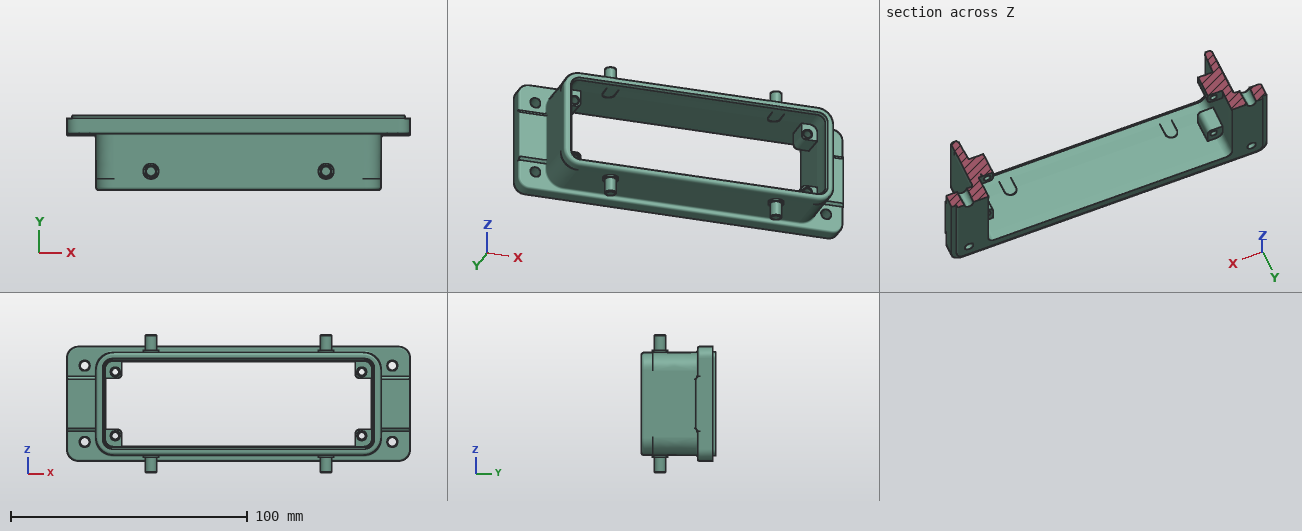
import cadquery as cq
import math


flange_length = 145.0
flange_height = 48.4
flange_thickness = 6.4
flange_corner = 5.0
flange_edge_fillet = 0.9
lip_depth = 1.3
lip_inset = 2.2
lip_edge_fillet = 0.6

pad_rise = 0.9
pad_edge_fillet = 0.7
pad_top_half = 10.3
pad_foot_half = 11.6

hood_length = 120.5
hood_height = 43.4
hood_front = 30.3
rear_corner = 7.5
front_corner = 7.1
parting_depth = 25.4
root_growth = 0.1
root_fillet = 0.7
rim_fillet = 1.3

rim_chamfer_depth = 1.2
rim_open_length = 114.8
rim_open_height = 38.3
rim_open_corner = 4.3
step_start = 19.7
throat_start = 2.8
rim_chamfer_inset = 0.7
parting_inset = 0.8
step_inset = 1.09
throat_inset = 1.3

pin_x = 37.0
pin_depth = 22.3
pin_span = 58.1
pin_diameter = 5.0
pin_chamfer = 0.5
collar_diameter = 6.5
collar_height = 0.9
recess_width = 5.4

boss_rear = 9.3
boss_front = step_start
boss_inner_x = 49.3
boss_inner_z = 10.7
boss_corner = 2.0
boss_hole_x = 52.0
boss_hole_z = 13.5
boss_hole_diameter = 3.5
boss_hole_back = 3.0
boss_hole_chamfer = 0.3

mount_x = 65.0
mount_z = 16.1
mount_diameter = 4.5
mount_back = 3.9

wall_middle_x = (rim_open_length + hood_length) / 4
wall_middle_z = (rim_open_height + hood_height) / 4


def rounded_rectangle(length, height, corner):
    return cq.Sketch().rect(length, height).vertices().fillet(corner)


def plate(length, height, corner, y_back, depth, taper=0):
    """Rounded rectangle in XZ, running forward from y_back by depth, narrowing by the taper angle."""
    outline = rounded_rectangle(length, height, corner)
    return cq.Workplane("XZ", origin=(0, y_back, 0)).placeSketch(outline).extrude(depth, taper=taper)


def four_corners(x, z):
    return [(sx * x, sz * z) for sx in (-1, 1) for sz in (-1, 1)]


def make_flange():
    flange = plate(flange_length, flange_height, flange_corner, 0, flange_thickness)
    flange = flange.faces("<Y").edges().fillet(flange_edge_fillet)
    lip = plate(
        flange_length - 2 * lip_inset,
        flange_height - 2 * lip_inset,
        flange_corner - lip_inset,
        lip_depth,
        lip_depth + flange_thickness / 2,
    )
    lip = lip.faces(">Y").edges().fillet(lip_edge_fillet)
    return flange.union(lip)


def make_pads():
    """Sloped-sided band across the flange, showing only beyond the ends of the hood."""
    pad_front = -flange_thickness - pad_rise
    profile = [
        (-flange_thickness / 2, -pad_foot_half),
        (-flange_thickness, -pad_foot_half),
        (pad_front, -pad_top_half),
        (pad_front, pad_top_half),
        (-flange_thickness, pad_foot_half),
        (-flange_thickness / 2, pad_foot_half),
    ]
    band = cq.Workplane("YZ").polyline(profile).close().extrude(flange_length / 2, both=True)
    return band.faces("<Y").edges("|Z").fillet(pad_edge_fillet)


def make_hood():
    rear = plate(
        hood_length + 2 * root_growth,
        hood_height + 2 * root_growth,
        rear_corner + root_growth,
        0,
        parting_depth,
        math.degrees(math.atan(root_growth / parting_depth)),
    )
    front = plate(hood_length, hood_height, front_corner, -parting_depth, hood_front - parting_depth)
    return rear.union(front.faces("<Y").edges().fillet(rim_fillet))


def make_opening_stage(depth_front, inset_front, depth_back, inset_back):
    """Drafted length of the opening between two depths, inset from the size at the rim."""

    def section(inset):
        return rounded_rectangle(
            rim_open_length - 2 * inset,
            rim_open_height - 2 * inset,
            rim_open_corner - inset,
        )

    distance = depth_front - depth_back
    back_section = section(inset_back).moved(cq.Location(cq.Vector(0, 0, -distance)))
    start = cq.Workplane("XZ", origin=(0, -depth_front, 0))
    return start.placeSketch(section(inset_front), back_section).loft()


def make_opening():
    stops = [
        (hood_front, 0),
        (hood_front - rim_chamfer_depth, rim_chamfer_inset),
        (parting_depth, parting_inset),
        (step_start, step_inset),
        (throat_start, throat_inset),
        (-lip_depth, throat_inset),
    ]
    opening = cq.Workplane("XZ")
    for front_stop, back_stop in zip(stops, stops[1:]):
        opening = opening.union(make_opening_stage(*front_stop, *back_stop))
    return opening


def make_pin_recesses():
    """Shallow round-ended notches in the inner walls behind the pins, running to the parting line."""
    floor_half = rim_open_height / 2 - parting_inset
    round_ends = [(-pin_x, -step_start), (pin_x, -step_start)]
    run = parting_depth - step_start
    run_centres = [(x, y - run / 2) for x, y in round_ends]
    ends = cq.Workplane("XY").pushPoints(round_ends).circle(recess_width / 2).extrude(floor_half, both=True)
    runs = cq.Workplane("XY").pushPoints(run_centres).rect(recess_width, run).extrude(floor_half, both=True)
    return ends.union(runs)


def make_pins(side):
    """Two collared pins on the top (side = 1) or bottom (side = -1) wall."""
    centres = [(-pin_x, -pin_depth), (pin_x, -pin_depth)]
    start = cq.Workplane("XY", origin=(0, 0, side * wall_middle_z)).pushPoints(centres)
    shafts = start.circle(pin_diameter / 2).extrude(side * (pin_span / 2 - wall_middle_z))
    shafts = shafts.faces(">Z" if side > 0 else "<Z").edges().chamfer(pin_chamfer)
    collar_top = hood_height / 2 + collar_height
    collars = start.circle(collar_diameter / 2).extrude(side * (collar_top - wall_middle_z))
    return shafts.union(collars)


def make_boss(sx, sz):
    """Corner block filling the angle of the opening, rounded on its free corner."""
    block = (
        cq.Workplane("XZ", origin=(0, -boss_rear, 0))
        .center(sx * (wall_middle_x + boss_inner_x) / 2, sz * (wall_middle_z + boss_inner_z) / 2)
        .rect(wall_middle_x - boss_inner_x, wall_middle_z - boss_inner_z)
        .extrude(boss_front - boss_rear)
    )
    block = block.faces("<X" if sx > 0 else ">X").edges("<Z" if sz > 0 else ">Z").fillet(boss_corner)
    return block.intersect(plate(hood_length, hood_height, rear_corner, 0, hood_front))


def drafted_holes(x, z, y_front, depth, front_diameter, back_diameter):
    """Four matching holes narrowing from front to back."""
    holes = cq.Workplane("XZ")
    for hole_x, hole_z in four_corners(x, z):
        cone = cq.Solid.makeCone(
            front_diameter / 2,
            back_diameter / 2,
            depth,
            cq.Vector(hole_x, y_front, hole_z),
            cq.Vector(0, 1, 0),
        )
        holes = holes.add(cone)
    return holes.combine()


def make_boss_holes():
    depth = boss_front - boss_rear
    holes = drafted_holes(boss_hole_x, boss_hole_z, -boss_front, depth, boss_hole_diameter, boss_hole_back)
    mouth_diameter = boss_hole_diameter + 2 * boss_hole_chamfer
    mouths = drafted_holes(
        boss_hole_x, boss_hole_z, -boss_front, boss_hole_chamfer, mouth_diameter, boss_hole_diameter
    )
    return holes.union(mouths)


def make_mount_holes():
    depth = flange_thickness + lip_depth
    return drafted_holes(mount_x, mount_z, -flange_thickness, depth, mount_diameter, mount_back)


def fillet_hood_root(body):
    """Round the angle between the hood and the flange and pads behind it."""
    reach = 2 * root_growth
    pad_front = flange_thickness + pad_rise
    around_hood = cq.selectors.BoxSelector(
        (-hood_length / 2 - reach, -pad_front - reach, -hood_height / 2 - reach),
        (hood_length / 2 + reach, -flange_thickness + reach, hood_height / 2 + reach),
    )
    return body.edges(around_hood).fillet(root_fillet)


body = make_flange().union(make_pads()).union(make_hood())
body = fillet_hood_root(body)
body = body.cut(make_opening()).cut(make_pin_recesses())
for sx, sz in four_corners(1, 1):
    body = body.union(make_boss(sx, sz))
body = body.cut(make_boss_holes()).cut(make_mount_holes())
for side in (-1, 1):
    body = body.union(make_pins(side))
result = body